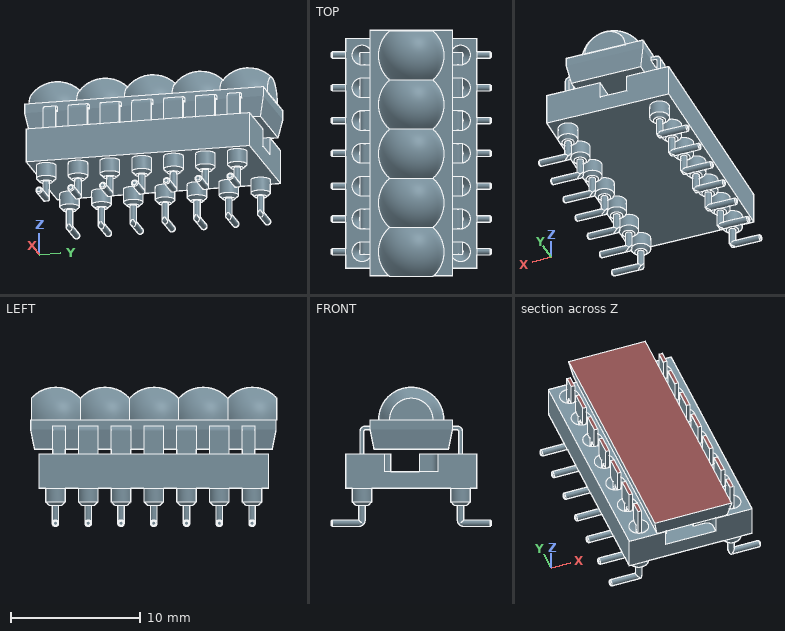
import cadquery as cq


pins_per_row = 7
pin_pitch = 2.53
row_x = 3.81
side_signs = (-1, 1)
pin_ys = [(i - (pins_per_row - 1) / 2) * pin_pitch for i in range(pins_per_row)]

body_width = 10.15
body_length = 17.78
body_bottom = 2.95
body_top = 5.62

recess_floor = 4.25
pocket_width = 4.14
pocket_depth = 1.1
pocket_corner_radius = 0.5
channel_left = pocket_corner_radius - pocket_width / 2
channel_right = 0.63

sleeve_head_diameter = 1.72
sleeve_diameter = 1.52
sleeve_bottom = 1.62
sleeve_chamfer = 0.29
mouth_bottom_diameter = 0.42
mouth_depth = (sleeve_diameter - mouth_bottom_diameter) / 2

pin_diameter = 0.51
pin_radius = pin_diameter / 2
pin_span = 12.4
pin_tip_x = pin_span / 2
pin_tip_chamfer = 0.1

carrier_width = 6.39
carrier_length = 19.0
carrier_y = 0.029
carrier_bottom = 5.97
carrier_shoulder = 7.5
carrier_top = 8.25
carrier_taper = 0.3

lens_count = 5
lens_radius = 2.53
lens_pitch = carrier_length / lens_count
lens_row_y = -0.029

lead_thickness = 0.3
lead_width = 1.52
lead_tip_width = 0.42
lead_top = 7.78
lead_underside = lead_top - lead_thickness
lead_shoulder = body_top
lead_bottom = 4.38
lead_outer_radius = 0.4
lead_outer_x = row_x + lead_thickness / 2
lead_inner_x = row_x - lead_thickness / 2
lead_root_x = 2.67


def box_between(x0, x1, y0, y1, z0, z1):
    return cq.Workplane("XY").box(x1 - x0, y1 - y0, z1 - z0, centered=False).translate((x0, y0, z0))


def make_body():
    half_width = body_width / 2
    half_length = body_length / 2
    body = box_between(-half_width, half_width, -half_length, half_length, body_bottom, body_top)
    pocket = box_between(
        -pocket_width / 2, pocket_width / 2, -half_length, pocket_depth - half_length, recess_floor, body_top
    )
    pocket = pocket.edges("|Z and >Y").fillet(pocket_corner_radius)
    channel_start = pocket_depth / 2 - half_length
    channel = box_between(channel_left, channel_right, channel_start, half_length, recess_floor, body_top)
    return body.cut(pocket).cut(channel)


def make_sleeve():
    """Headed sleeve on the Z axis, its head flush with the top of the body."""
    head_height = (body_top - body_bottom) / 2
    sleeve = (
        cq.Workplane("XY", origin=(0, 0, sleeve_bottom))
        .circle(sleeve_diameter / 2)
        .extrude(body_top - sleeve_bottom)
        .faces("<Z")
        .chamfer(sleeve_chamfer)
    )
    head = (
        cq.Workplane("XY", origin=(0, 0, body_top - head_height))
        .circle(sleeve_head_diameter / 2)
        .extrude(head_height)
    )
    return sleeve.union(head)


def make_mouth():
    """Cone on the Z axis that opens the top of a sleeve."""
    return (
        cq.Workplane("XZ")
        .moveTo(0, body_top)
        .lineTo(sleeve_diameter / 2, body_top)
        .lineTo(mouth_bottom_diameter / 2, body_top - mouth_depth)
        .lineTo(0, body_top - mouth_depth)
        .close()
        .revolve(360, (0, 0, 0), (0, 1, 0))
    )


def make_pin():
    """Mitred right-angle pin of the +X row, its outer corner rounded."""
    left = row_x - pin_radius
    right = row_x + pin_radius
    upright = cq.Workplane("XY", origin=(row_x, 0, 0)).circle(pin_radius).extrude(body_bottom)
    foot = (
        cq.Workplane("YZ", origin=(left, 0, pin_radius))
        .circle(pin_radius)
        .extrude(pin_tip_x - left)
        .faces(">X")
        .chamfer(pin_tip_chamfer)
    )
    above_mitre = (
        cq.Workplane("XZ")
        .polyline([(left, 0), (right, pin_diameter), (right, body_bottom), (left, body_bottom)])
        .close()
        .extrude(pin_radius, both=True)
    )
    below_mitre = (
        cq.Workplane("XZ")
        .polyline([(left, 0), (right, pin_diameter), (pin_tip_x, pin_diameter), (pin_tip_x, 0)])
        .close()
        .extrude(pin_radius, both=True)
    )
    elbow = upright.intersect(above_mitre).union(foot.intersect(below_mitre))
    envelope = box_between(left, pin_tip_x, -pin_radius, pin_radius, 0, body_bottom)
    envelope = envelope.edges("|Y and <X and <Z").fillet(pin_diameter)
    return elbow.intersect(envelope)


def make_carrier():
    lower_height = carrier_shoulder - carrier_bottom
    upper = cq.Workplane("XY", origin=(0, carrier_y, carrier_shoulder)).box(
        carrier_width, carrier_length, carrier_top - carrier_shoulder, centered=(True, True, False)
    )
    lower = (
        cq.Workplane("XY", origin=(0, carrier_y, carrier_bottom))
        .rect(carrier_width - 2 * carrier_taper, carrier_length - 2 * carrier_taper)
        .workplane(offset=lower_height)
        .rect(carrier_width, carrier_length)
        .loft(ruled=True)
    )
    return upper.union(lower)


def make_lens():
    """Dome cut flat where it meets its neighbours."""
    slab = cq.Workplane("XY").box(2 * lens_radius, lens_pitch, lens_radius, centered=(True, True, False))
    ball = cq.Workplane("XY").sphere(lens_radius, direct=(0, 1, 0))
    return ball.intersect(slab).translate((0, 0, carrier_top))


def make_lead(pin_y, low_side, high_side):
    """Bent strip of the +X row with a narrow tip; it reaches low_side and high_side from pin_y."""
    y0 = pin_y - low_side
    y1 = pin_y + high_side
    lead_inner_radius = lead_outer_radius - lead_thickness
    strip = (
        cq.Workplane("XZ", origin=(0, y1, 0))
        .moveTo(lead_root_x, lead_top)
        .lineTo(lead_outer_x, lead_top)
        .lineTo(lead_outer_x, lead_shoulder)
        .lineTo(lead_inner_x, lead_shoulder)
        .lineTo(lead_inner_x, lead_underside)
        .lineTo(lead_root_x, lead_underside)
        .close()
        .extrude(y1 - y0)
    )
    outer_bend = cq.selectors.NearestToPointSelector((lead_outer_x, (y0 + y1) / 2, lead_top))
    inner_bend = cq.selectors.NearestToPointSelector((lead_inner_x, (y0 + y1) / 2, lead_underside))
    strip = strip.edges(outer_bend).fillet(lead_outer_radius)
    strip = strip.edges(inner_bend).fillet(lead_inner_radius)
    tip = box_between(
        lead_inner_x,
        lead_outer_x,
        pin_y - lead_tip_width / 2,
        pin_y + lead_tip_width / 2,
        lead_bottom,
        lead_shoulder,
    )
    return strip.union(tip)


def on_side(part, side):
    """Leave a +X part in place, or turn it over to the -X row."""
    return part if side > 0 else part.mirror("YZ")


body = make_body()
sleeve = make_sleeve()
mouth = make_mouth()
pin = make_pin()
for side in side_signs:
    for pin_y in pin_ys:
        place = (side * row_x, pin_y, 0)
        body = body.union(sleeve.translate(place), clean=False).cut(mouth.translate(place), clean=False)
        body = body.union(on_side(pin, side).translate((0, pin_y, 0)), clean=False)

carrier = make_carrier()
lens = make_lens()
for i in range(lens_count):
    lens_y = lens_row_y + (i - (lens_count - 1) / 2) * lens_pitch
    carrier = carrier.union(lens.translate((0, lens_y, 0)))

for pin_y in pin_ys:
    low_side = (lead_tip_width if pin_y == pin_ys[0] else lead_width) / 2
    high_side = (lead_tip_width if pin_y == pin_ys[-1] else lead_width) / 2
    lead = make_lead(pin_y, low_side, high_side)
    for side in side_signs:
        carrier = carrier.union(on_side(lead, side))

result = body.union(carrier, clean=False)